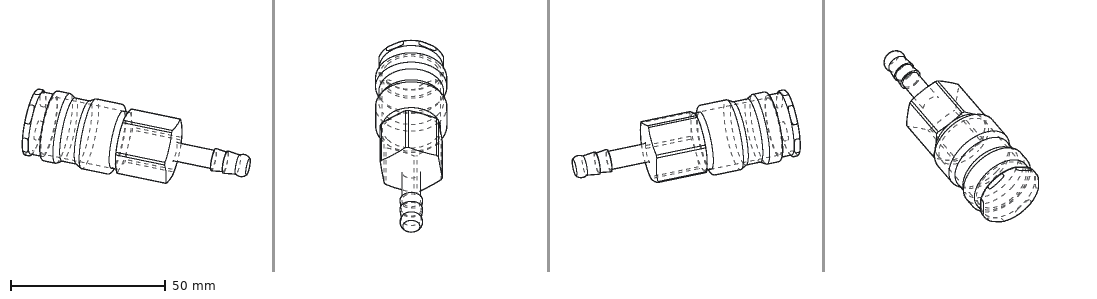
import cadquery as cq
import math

LENGTH = 73.1
FLANGE_END = 2.05
SLEEVE_START = 6.0
SLEEVE_END = 29.0
HEX_START = 31.15
HEX_END = 48.2

FLANGE_RADIUS = 21.9 / 2
FLANGE_ACROSS_FLATS = 21.0
FLANGE_FILLET = 0.55
NECK_RADIUS = 20.6 / 2

SLEEVE_RADIUS = 23.2 / 2
SLEEVE_FILLET = 0.95
BORE_RADIUS = 18.9 / 2
WAIST_RADIUS = 21.0 / 2
WAIST_START = 12.65
WAIST_END = 17.55
SHOULDER_LENGTH = 2.0

HEX_ACROSS_FLATS = 19.0
HEX_TURN = 7.4
HEX_CORNER_RADIUS = 21.4 / 2
HEX_BEVEL_RADIUS = 19.4 / 2
HEX_BEVEL_LENGTH = 0.3

STEM_RADIUS = 6.1 / 2
STEM_FILLET = 0.7
BARB_RADIUS = 7.4 / 2
BARB_ROOT_RADIUS = 3.2
BARB_STARTS = (61.5, 65.4)
BARB_LAND = 0.475
BULB_START = 69.7
BULB_CREST = 71.1
TIP_RADIUS = 2.8


def revolve_about_axis(profile):
    """Turn a closed profile, drawn as (x, radius), about the X axis."""
    return profile.close().revolve(360, (0, 0, 0), (1, 0, 0))


def hex_prism(across_flats, start, end, turn=0.0):
    """Hexagonal bar along X with one flat facing -Y, turned about the axis by `turn` degrees."""
    corner_diameter = across_flats / math.cos(math.pi / 6)
    bar = cq.Workplane("YZ", origin=(start, 0, 0)).polygon(6, corner_diameter).extrude(end - start)
    flat_to_y = 30.0
    return bar.rotate((0, 0, 0), (1, 0, 0), flat_to_y + turn)


def make_flange():
    """Front flange with rounded edges and six flats."""
    disc = (
        cq.Workplane("YZ")
        .circle(FLANGE_RADIUS)
        .extrude(FLANGE_END)
        .faces("<X").edges().fillet(FLANGE_FILLET)
        .faces(">X").edges().fillet(FLANGE_FILLET)
    )
    return disc.intersect(hex_prism(FLANGE_ACROSS_FLATS, 0, FLANGE_END))


def make_neck():
    """Round stretch between the flange and the sleeve, and the thinner one inside the sleeve."""
    profile = (
        cq.Workplane("XY")
        .moveTo(FLANGE_END, 0)
        .lineTo(FLANGE_END, NECK_RADIUS)
        .lineTo(SLEEVE_START, NECK_RADIUS)
        .lineTo(SLEEVE_START, BORE_RADIUS)
        .lineTo(HEX_START, BORE_RADIUS)
        .lineTo(HEX_START, 0)
    )
    return revolve_about_axis(profile)


def make_hexagon():
    """Hexagon cut to a turned blank, which rounds its corners and bevels its ends."""
    blank = (
        cq.Workplane("XY")
        .moveTo(HEX_START, 0)
        .lineTo(HEX_START, HEX_BEVEL_RADIUS)
        .lineTo(HEX_START + HEX_BEVEL_LENGTH, HEX_CORNER_RADIUS)
        .lineTo(HEX_END - HEX_BEVEL_LENGTH, HEX_CORNER_RADIUS)
        .lineTo(HEX_END, HEX_BEVEL_RADIUS)
        .lineTo(HEX_END, 0)
    )
    bar = hex_prism(HEX_ACROSS_FLATS, HEX_START, HEX_END, HEX_TURN)
    return bar.intersect(revolve_about_axis(blank))


def make_stem():
    """Hose stem: a filleted root, two tapering barbs and a rounded bulb at the tip."""
    profile = (
        cq.Workplane("XY")
        .moveTo(HEX_END, 0)
        .lineTo(HEX_END, STEM_RADIUS + STEM_FILLET)
        .radiusArc((HEX_END + STEM_FILLET, STEM_RADIUS), -STEM_FILLET)
        .lineTo(BARB_STARTS[0], STEM_RADIUS)
    )
    barb_ends = (*BARB_STARTS[1:], BULB_START)
    for start, end in zip(BARB_STARTS, barb_ends):
        profile = (
            profile.lineTo(start, BARB_RADIUS)
            .lineTo(start + BARB_LAND, BARB_RADIUS)
            .lineTo(end, BARB_ROOT_RADIUS)
        )
    profile = (
        profile.threePointArc((BULB_CREST, BARB_RADIUS), (LENGTH, TIP_RADIUS))
        .lineTo(LENGTH, 0)
    )
    return revolve_about_axis(profile)


def make_core():
    """Coupling core: flange, neck, hexagon and hose stem in one piece."""
    return make_flange().union(make_neck()).union(make_hexagon()).union(make_stem())


def make_sleeve():
    """Sleeve around the core, with rounded ends and a waist."""
    profile = (
        cq.Workplane("XY")
        .moveTo(SLEEVE_START, BORE_RADIUS)
        .lineTo(SLEEVE_START, SLEEVE_RADIUS)
        .lineTo(WAIST_START - SHOULDER_LENGTH, SLEEVE_RADIUS)
        .lineTo(WAIST_START, WAIST_RADIUS)
        .lineTo(WAIST_END, WAIST_RADIUS)
        .lineTo(WAIST_END + SHOULDER_LENGTH, SLEEVE_RADIUS)
        .lineTo(SLEEVE_END, SLEEVE_RADIUS)
        .lineTo(SLEEVE_END, BORE_RADIUS)
    )
    outer_end_edges = cq.selectors.RadiusNthSelector(-1)
    sleeve = revolve_about_axis(profile)
    sleeve = sleeve.faces("<X").edges(outer_end_edges).fillet(SLEEVE_FILLET)
    return sleeve.faces(">X").edges(outer_end_edges).fillet(SLEEVE_FILLET)


core = make_core().solids()
sleeve = make_sleeve().solids()

result = cq.Compound.makeCompound([core.val(), sleeve.val()])